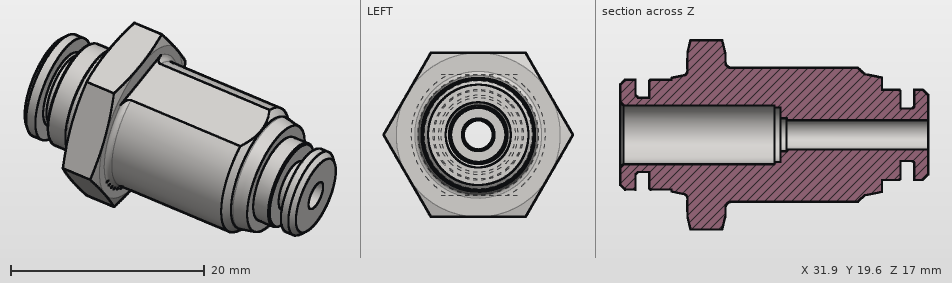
import cadquery as cq
import math

LENGTH = 31.9

WIDE_RADIUS = 5.7
WIDE_FLANGE_WIDTH = 1.6
WIDE_CHAMFER = 0.5
WIDE_NECK_RADIUS = 3.85
WIDE_NECK_CHAMFER = 0.25
WIDE_NECK_END = 3.0
SLEEVE_EDGE_CHAMFER = 0.13

SHOULDER_START = 5.3
SHOULDER_START_RADIUS = 5.9
SHOULDER_END = 6.5
SHOULDER_END_RADIUS = 6.15
SHOULDER_FILLET = 0.4

HEX_START = SHOULDER_END + SHOULDER_FILLET
HEX_WIDTH = 4.0
HEX_END = HEX_START + HEX_WIDTH
HEX_ACROSS_FLATS = 17.0
HEX_ACROSS_CORNERS = HEX_ACROSS_FLATS / math.cos(math.pi / 6)
HEX_CHAMFER_ANGLE = math.radians(15)

BODY_RADIUS = 6.95
BODY_ACROSS_FLATS = 12.55
BODY_FILLET = 0.57
BODY_STRAIGHT_END = 24.6
BODY_END = 25.35
BODY_END_RADIUS = 6.25

NOSE_START = 25.58
NOSE_END = 27.1
NOSE_END_RADIUS = 5.93

NARROW_RADIUS = 4.7
NARROW_NECK_START = 29.03
NARROW_NECK_RADIUS = 2.75
NARROW_FLANGE_START = 30.43
NARROW_NECK_CHAMFER = 0.2
NARROW_CHAMFER = 0.57

MOUTH_RADIUS = 3.38
TUBE_BORE_RADIUS = 3.03
TUBE_BORE_DEPTH = 15.95
SEAT_RADIUS = 2.8
SEAT_LENGTH = 0.65
PASSAGE_MOUTH_RADIUS = 1.7
PASSAGE_MOUTH_LENGTH = 0.65
PASSAGE_RADIUS = 1.5


def revolve_about_x(profile):
    return profile.close().revolve(360, (0, 0, 0), (1, 0, 0))


def make_wide_end():
    profile = (
        cq.Workplane("XY")
        .lineTo(0, WIDE_RADIUS - WIDE_CHAMFER)
        .lineTo(WIDE_CHAMFER, WIDE_RADIUS)
        .lineTo(WIDE_FLANGE_WIDTH, WIDE_RADIUS)
        .lineTo(WIDE_FLANGE_WIDTH, WIDE_NECK_RADIUS + WIDE_NECK_CHAMFER)
        .lineTo(WIDE_FLANGE_WIDTH + WIDE_NECK_CHAMFER, WIDE_NECK_RADIUS)
        .lineTo(WIDE_NECK_END, WIDE_NECK_RADIUS)
        .lineTo(WIDE_NECK_END, WIDE_RADIUS - SLEEVE_EDGE_CHAMFER)
        .lineTo(WIDE_NECK_END + SLEEVE_EDGE_CHAMFER, WIDE_RADIUS)
        .lineTo(SHOULDER_START, WIDE_RADIUS)
        .lineTo(SHOULDER_START, SHOULDER_START_RADIUS)
        .lineTo(SHOULDER_END, SHOULDER_END_RADIUS)
        .radiusArc((HEX_START, SHOULDER_END_RADIUS + SHOULDER_FILLET), -SHOULDER_FILLET)
        .lineTo(HEX_END, SHOULDER_END_RADIUS + SHOULDER_FILLET)
        .lineTo(HEX_END, 0)
    )
    return revolve_about_x(profile)


def make_hexagon():
    """Hexagon with corners on the Y axis, both faces chamfered by a cone."""
    hexagon = (
        cq.Workplane("YZ", origin=(HEX_START, 0, 0))
        .polygon(6, HEX_ACROSS_CORNERS)
        .extrude(HEX_WIDTH)
    )
    face_radius = HEX_ACROSS_FLATS / 2
    corner_radius = HEX_ACROSS_CORNERS / 2
    chamfer_depth = (corner_radius - face_radius) * math.tan(HEX_CHAMFER_ANGLE)
    envelope = (
        cq.Workplane("XY")
        .moveTo(HEX_START, 0)
        .lineTo(HEX_START, face_radius)
        .lineTo(HEX_START + chamfer_depth, corner_radius)
        .lineTo(HEX_END - chamfer_depth, corner_radius)
        .lineTo(HEX_END, face_radius)
        .lineTo(HEX_END, 0)
    )
    return hexagon.intersect(revolve_about_x(envelope))


def make_body():
    """Round body, flared at the hexagon and cut by flats on +Z and -Z."""
    profile = (
        cq.Workplane("XY")
        .moveTo(HEX_END, 0)
        .lineTo(HEX_END, BODY_RADIUS + BODY_FILLET)
        .radiusArc((HEX_END + BODY_FILLET, BODY_RADIUS), -BODY_FILLET)
        .lineTo(BODY_STRAIGHT_END, BODY_RADIUS)
        .lineTo(BODY_END, BODY_END_RADIUS)
        .lineTo(BODY_END, 0)
    )
    flats = cq.Workplane("XY").box(2 * LENGTH, LENGTH, BODY_ACROSS_FLATS)
    return revolve_about_x(profile).intersect(flats)


def make_narrow_end():
    profile = (
        cq.Workplane("XY")
        .moveTo(HEX_END, 0)
        .lineTo(HEX_END, NARROW_RADIUS)
        .lineTo(BODY_END, NARROW_RADIUS)
        .lineTo(BODY_END, BODY_END_RADIUS)
        .lineTo(NOSE_START, BODY_END_RADIUS)
        .lineTo(NOSE_END, NOSE_END_RADIUS)
        .lineTo(NOSE_END, NARROW_RADIUS)
        .lineTo(NARROW_NECK_START - SLEEVE_EDGE_CHAMFER, NARROW_RADIUS)
        .lineTo(NARROW_NECK_START, NARROW_RADIUS - SLEEVE_EDGE_CHAMFER)
        .lineTo(NARROW_NECK_START, NARROW_NECK_RADIUS)
        .lineTo(NARROW_FLANGE_START - NARROW_NECK_CHAMFER, NARROW_NECK_RADIUS)
        .lineTo(NARROW_FLANGE_START, NARROW_NECK_RADIUS + NARROW_NECK_CHAMFER)
        .lineTo(NARROW_FLANGE_START, NARROW_RADIUS)
        .lineTo(LENGTH - NARROW_CHAMFER, NARROW_RADIUS)
        .lineTo(LENGTH, NARROW_RADIUS - NARROW_CHAMFER)
        .lineTo(LENGTH, 0)
    )
    return revolve_about_x(profile)


def make_bore():
    """Stepped tube bore from the wide end, then a passage right through."""
    seat_end = TUBE_BORE_DEPTH + SEAT_LENGTH
    passage_start = seat_end + PASSAGE_MOUTH_LENGTH
    profile = (
        cq.Workplane("XY")
        .lineTo(0, MOUTH_RADIUS)
        .lineTo(MOUTH_RADIUS - TUBE_BORE_RADIUS, TUBE_BORE_RADIUS)
        .lineTo(TUBE_BORE_DEPTH, TUBE_BORE_RADIUS)
        .lineTo(TUBE_BORE_DEPTH, SEAT_RADIUS)
        .lineTo(seat_end, SEAT_RADIUS)
        .lineTo(seat_end, PASSAGE_MOUTH_RADIUS)
        .lineTo(passage_start, PASSAGE_MOUTH_RADIUS)
        .lineTo(passage_start, PASSAGE_RADIUS)
        .lineTo(LENGTH, PASSAGE_RADIUS)
        .lineTo(LENGTH, 0)
    )
    return revolve_about_x(profile)


result = (
    make_wide_end()
    .union(make_hexagon())
    .union(make_body())
    .union(make_narrow_end())
    .cut(make_bore())
)